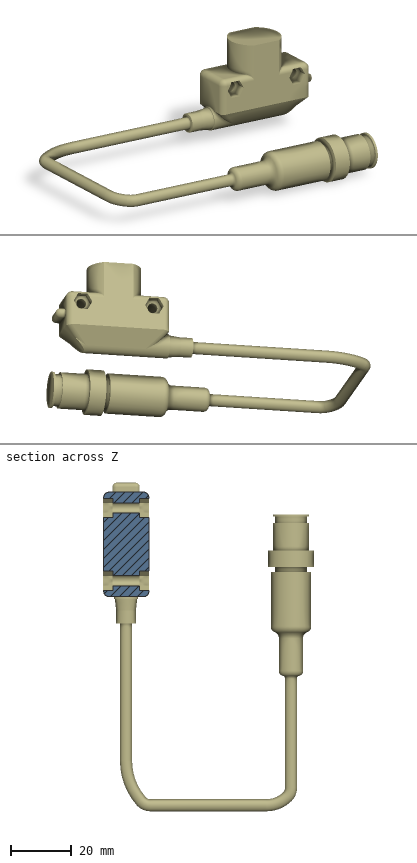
import cadquery as cq
import math


overall_length = 108.2
cable_d = 4.0
plug_x = 54.3

housing_width = 15.0
housing_length = 34.6
housing_bottom = 3.2
housing_top = 15.0
edge_round = 2.0
head_d = 18.0
head_top = 25.3

gland_d = 8.0
gland_neck_d = 7.4
gland_end_d = 6.5
gland_shoulder_y = -18.1
gland_taper_end_y = -21.9
gland_end_y = -26.1

tab_width = 9.0
tab_height = 3.0
tab_length = 2.9
tab_z = 8.1
tab_round = 1.4

hole_d = 3.2
hole_spacing = 24.0
hole_z = 11.4
hex_across_flats = 5.4
hex_depth = 3.0

core_d = 10.6
thread_d = 12.0
ring_d = 15.0
grip_d = 13.3
sleeve_d = 8.0
grip_round = 2.0
sleeve_round = 1.6
sleeve_fillet = 0.8
tip_y = 9.9
tip_flange_length = 0.8
nut_front_y = 6.9
ring_front_y = -2.1
ring_back_y = -7.5
grip_front_y = -9.1
grip_straight_end_y = -27.2
sleeve_straight_end_y = -41.8
sleeve_end_y = -44.4

long_bend_r = 20.2
tight_bend_r = 4.0
wide_bend_r = 9.7
sensor_bend_split_angle = math.radians(49)
plug_bend_split_angle = math.radians(45)

housing_end_y = housing_length / 2
cable_cross_y = housing_end_y + tab_length - overall_length + cable_d / 2


def make_block():
    """Upright block with rounded vertical and top edges."""
    height = housing_top - housing_bottom
    return (
        cq.Workplane("XY", origin=(0, 0, housing_bottom))
        .rect(housing_width, housing_length)
        .extrude(height)
        .edges("|Z or >Z")
        .fillet(edge_round)
    )


def make_end_cut():
    """Space under the +Y end, below a 45 degree plane through the housing's bottom edge."""
    drop = housing_bottom + gland_d
    return (
        cq.Workplane("YZ")
        .polyline([
            (housing_end_y, housing_bottom),
            (housing_end_y, housing_bottom - drop),
            (housing_end_y - drop, housing_bottom - drop),
        ])
        .close()
        .extrude(housing_width, both=True)
    )


def make_keel():
    """Flat flanks that run from the housing sides tangentially onto the gland cylinder."""
    gland_r = gland_d / 2
    half_width = housing_width / 2
    edge_distance = math.hypot(half_width, housing_bottom)
    tangent_angle = math.atan2(housing_bottom, half_width) - math.acos(gland_r / edge_distance)
    tangent_x = gland_r * math.cos(tangent_angle)
    tangent_z = gland_r * math.sin(tangent_angle)
    flanks = (
        cq.Workplane("XZ", origin=(0, housing_end_y, 0))
        .polyline([
            (-half_width, housing_bottom),
            (-tangent_x, tangent_z),
            (tangent_x, tangent_z),
            (half_width, housing_bottom),
        ])
        .close()
        .extrude(housing_length)
    )
    end_cut = make_end_cut()
    tapered = flanks.cut(end_cut).cut(end_cut.mirror("XZ"))
    tapered = tapered.edges("not (#X or #Y or #Z)").fillet(edge_round)
    rounded_plan = (
        cq.Workplane("XY", origin=(0, 0, -gland_r))
        .rect(housing_width, housing_length)
        .extrude(gland_r + housing_bottom)
        .edges("|Z")
        .fillet(edge_round)
    )
    return tapered.intersect(rounded_plan)


def make_head():
    """Round sensing head, flattened flush with the housing sides."""
    height = head_top - housing_bottom
    cylinder = cq.Workplane("XY", origin=(0, 0, housing_bottom)).circle(head_d / 2).extrude(height)
    flats = (
        cq.Workplane("XY", origin=(0, 0, housing_bottom))
        .rect(housing_width, head_d)
        .extrude(height)
    )
    return cylinder.intersect(flats)


def make_gland():
    """Cable outlet: cylinder under the housing, then a tapered neck and a collar along -Y."""
    turned = (
        cq.Workplane("XY")
        .polyline([
            (0, housing_end_y),
            (gland_d / 2, housing_end_y),
            (gland_d / 2, gland_shoulder_y),
            (gland_neck_d / 2, gland_shoulder_y),
            (gland_end_d / 2, gland_taper_end_y),
            (gland_end_d / 2, gland_end_y),
            (0, gland_end_y),
        ])
        .close()
        .revolve(360, (0, 0, 0), (0, 1, 0))
    )
    return turned.cut(make_end_cut())


def make_tab():
    """Small rounded indicator tab on the +Y end."""
    return (
        cq.Workplane("XZ", origin=(0, housing_end_y, tab_z))
        .rect(tab_width, tab_height)
        .extrude(-tab_length)
        .edges("|Y or >Y")
        .fillet(tab_round)
    )


def cut_mounting_holes(body):
    """Cross holes through the width, with a hexagonal nut pocket at each mouth."""
    hex_corner_d = hex_across_flats / math.cos(math.pi / 6)
    half_width = housing_width / 2
    for y in (-hole_spacing / 2, hole_spacing / 2):
        mid_plane = cq.Workplane("YZ", origin=(0, y, hole_z))
        hole = mid_plane.circle(hole_d / 2).extrude(half_width, both=True)
        pocket = (
            mid_plane.workplane(offset=half_width - hex_depth)
            .polygon(6, hex_corner_d)
            .extrude(hex_depth)
        )
        body = body.cut(hole).cut(pocket).cut(pocket.mirror("YZ"))
    return body


def make_cable():
    """Cable from the gland, across in +X and back up to the plug."""
    corner_x = tight_bend_r * math.sin(sensor_bend_split_angle)
    corner_y = tight_bend_r * (1 - math.cos(sensor_bend_split_angle))
    long_x = long_bend_r * (1 - math.sin(sensor_bend_split_angle))
    long_y = long_bend_r * math.cos(sensor_bend_split_angle)
    split_x = plug_x - tight_bend_r * (1 - math.cos(plug_bend_split_angle))
    split_y = cable_cross_y + wide_bend_r * (1 - math.cos(plug_bend_split_angle))
    path = (
        cq.Workplane("XY")
        .moveTo(0, gland_end_y)
        .lineTo(0, cable_cross_y + corner_y + long_y)
        .radiusArc((long_x, cable_cross_y + corner_y), -long_bend_r)
        .radiusArc((long_x + corner_x, cable_cross_y), -tight_bend_r)
        .lineTo(split_x - wide_bend_r * math.sin(plug_bend_split_angle), cable_cross_y)
        .radiusArc((split_x, split_y), -wide_bend_r)
        .radiusArc((plug_x, split_y + tight_bend_r * math.sin(plug_bend_split_angle)), -tight_bend_r)
        .lineTo(plug_x, sleeve_end_y)
    )
    return (
        cq.Workplane("XZ", origin=(0, gland_end_y, 0))
        .circle(cable_d / 2)
        .sweep(path)
    )


def add_shoulder(outline, large_r, small_r, start_y, round_r, fillet_r):
    """Step a plug outline down from large_r at start_y to small_r.

    A convex round leads tangentially into a concave fillet.
    """
    round_x = large_r - round_r
    fillet_x = small_r + fillet_r
    centre_distance = round_r + fillet_r
    end_y = start_y - math.sqrt(centre_distance ** 2 - (fillet_x - round_x) ** 2)
    share = round_r / centre_distance
    meet_x = round_x + share * (fillet_x - round_x)
    meet_y = start_y + share * (end_y - start_y)
    return outline.radiusArc((meet_x, meet_y), round_r).radiusArc((small_r, end_y), -fillet_r)


def make_plug():
    """Turned plug body: flanged core, grip and strain-relief sleeve."""
    core_r = core_d / 2
    grip_r = grip_d / 2
    sleeve_r = sleeve_d / 2
    cable_r = cable_d / 2
    flange_back_y = tip_y - tip_flange_length
    outline = (
        cq.Workplane("XY", origin=(plug_x, 0, 0))
        .moveTo(0, tip_y)
        .lineTo(thread_d / 2, tip_y)
        .lineTo(thread_d / 2, flange_back_y)
        .lineTo(core_r, flange_back_y)
        .lineTo(core_r, grip_front_y)
        .lineTo(grip_r, grip_front_y)
        .lineTo(grip_r, grip_straight_end_y)
    )
    outline = add_shoulder(outline, grip_r, sleeve_r, grip_straight_end_y, grip_round, grip_round)
    outline = outline.lineTo(sleeve_r, sleeve_straight_end_y)
    outline = add_shoulder(outline, sleeve_r, cable_r, sleeve_straight_end_y, sleeve_round, sleeve_fillet)
    return (
        outline.lineTo(cable_r, sleeve_end_y)
        .lineTo(0, sleeve_end_y)
        .close()
        .revolve(360, (0, 0, 0), (0, 1, 0))
    )


def make_sensor():
    """Housing, cable and plug body moulded as one piece."""
    housing = make_block().union(make_keel()).union(make_head()).union(make_gland()).union(make_tab())
    housing = cut_mounting_holes(housing)
    return housing.union(make_cable()).union(make_plug())


def make_coupling_nut():
    """Threaded sleeve with a larger gripping ring, turning on the plug core."""
    thread = (
        cq.Workplane("XZ", origin=(plug_x, nut_front_y, 0))
        .circle(thread_d / 2)
        .circle(core_d / 2)
        .extrude(nut_front_y - ring_front_y)
    )
    ring = (
        cq.Workplane("XZ", origin=(plug_x, ring_front_y, 0))
        .circle(ring_d / 2)
        .circle(core_d / 2)
        .extrude(ring_front_y - ring_back_y)
    )
    return thread.union(ring)


sensor = make_sensor()
coupling_nut = make_coupling_nut()
result = cq.Compound.makeCompound([sensor.solids().val(), coupling_nut.solids().val()])